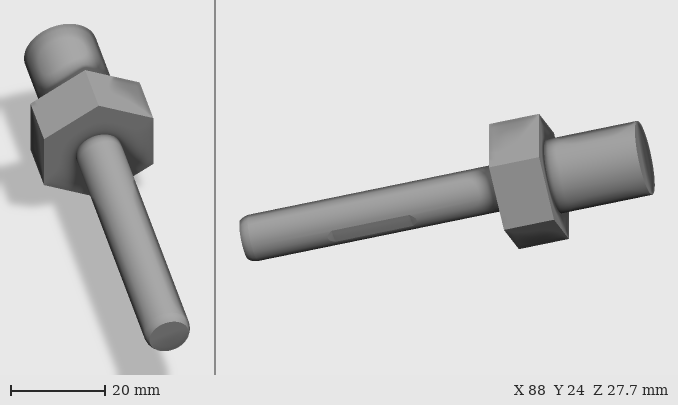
import cadquery as cq
import math

total_length = 88.0
head_length = 20.0
hex_length = 11.0

head_diameter = 16.0
hex_across_flats = 24.0
rod_diameter = 10.0

tip_length = 2.0
tip_inset = 0.7

flat_start = 50.2
flat_length = 19.5
flat_ramp_length = 1.2
flat_depth = 0.3

hex_across_corners = hex_across_flats / math.cos(math.radians(30))
rod_start = head_length + hex_length


def section_plane(x):
    """Plane across the part axis at x, with its local axes along Y and Z."""
    return cq.Workplane("YZ", origin=(x, 0, 0))


def make_head():
    return section_plane(0).circle(head_diameter / 2).extrude(head_length)


def make_hex():
    """Hexagon with two corners pointing along Z."""
    outline = section_plane(head_length).transformed(rotate=(0, 0, 90))
    return outline.polygon(6, hex_across_corners).extrude(hex_length)


def make_rod():
    """Rod revolved about X, with its tip arc tangent to the cylinder."""
    radius = rod_diameter / 2
    tip_start = total_length - tip_length
    profile = (
        cq.Workplane("XY")
        .moveTo(rod_start, 0)
        .lineTo(rod_start, radius)
        .lineTo(tip_start, radius)
        .tangentArcPoint((total_length, radius - tip_inset), relative=False)
        .lineTo(total_length, 0)
        .close()
    )
    return profile.revolve(360, (0, 0, 0), (1, 0, 0))


def make_flat_cutter():
    """Trapezoid in XZ that removes the shallow flat across the full rod width."""
    bottom = -rod_diameter / 2
    floor = bottom + flat_depth
    flat_end = flat_start + flat_length
    outline = [
        (flat_start, bottom),
        (flat_start + flat_ramp_length, floor),
        (flat_end - flat_ramp_length, floor),
        (flat_end, bottom),
    ]
    return cq.Workplane("XZ").polyline(outline).close().extrude(rod_diameter / 2, both=True)


rod = make_rod().cut(make_flat_cutter())
result = make_head().union(make_hex()).union(rod)